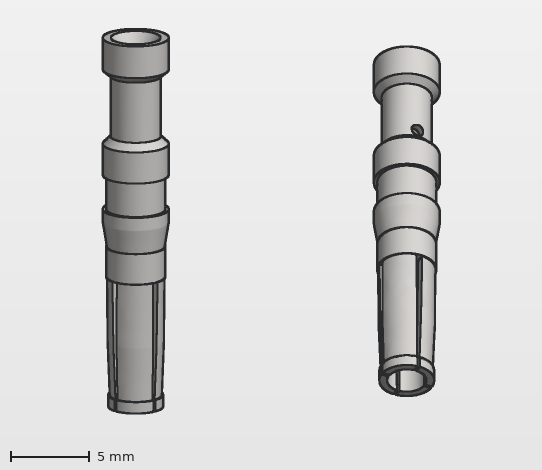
import cadquery as cq
import math

COLLAR_DIA = 4.2
NECK_DIA = 3.2
BODY_DIA = 3.75
TAPER_FOOT_DIA = 3.69
FINGER_ROOT_DIA = 3.65
FINGER_MID_DIA = 3.6
FINGER_WAIST_DIA = 3.32
TIP_DIA = 3.5

TOTAL_HEIGHT = 24.25
TOP_FLANGE_BOTTOM = 22.16
NECK_TOP = 21.73
NECK_BOTTOM = 17.78
MIDDLE_COLLAR_TOP = NECK_BOTTOM - (COLLAR_DIA - NECK_DIA) / 2
MIDDLE_COLLAR_BOTTOM = 15.23
LOWER_COLLAR_TOP = 12.97
LOWER_COLLAR_BOTTOM = 12.1
COLLAR_TAPER_BOTTOM = 10.52
FINGER_ROOT = 8.5
FINGER_MID = 4.27
TIP_BAND_TOP = 0.75

WIRE_BORE_DIA = 2.18
COUNTERSINK_DIA = 3.15
COUNTERSINK_DEPTH = 0.73
DRILL_POINT_ANGLE = 118
WIRE_BORE_BOTTOM = 17.45

INSPECTION_HOLE_DIA = 0.8
INSPECTION_HOLE_HEIGHT = 18.25

SOCKET_BORE_DIA = 2.5
SOCKET_BORE_DEPTH = FINGER_ROOT
SLOT_ROOT_WIDTH = 0.41
SLOT_TIP_WIDTH = 0.17


def revolve_profile(steps):
    """Solid of revolution about Z through (diameter, height) pairs that start and end on the axis."""
    outline = [(diameter / 2, height) for diameter, height in steps]
    profile = cq.Workplane("XZ").polyline(outline).close()
    return profile.revolve(360, (0, 0, 0), (0, 1, 0))


def outer_body():
    return revolve_profile([
        (0, TOTAL_HEIGHT),
        (COLLAR_DIA, TOTAL_HEIGHT),
        (COLLAR_DIA, TOP_FLANGE_BOTTOM),
        (NECK_DIA, NECK_TOP),
        (NECK_DIA, NECK_BOTTOM),
        (COLLAR_DIA, MIDDLE_COLLAR_TOP),
        (COLLAR_DIA, MIDDLE_COLLAR_BOTTOM),
        (BODY_DIA, MIDDLE_COLLAR_BOTTOM),
        (BODY_DIA, LOWER_COLLAR_TOP),
        (COLLAR_DIA, LOWER_COLLAR_TOP),
        (COLLAR_DIA, LOWER_COLLAR_BOTTOM),
        (TAPER_FOOT_DIA, COLLAR_TAPER_BOTTOM),
        (BODY_DIA, COLLAR_TAPER_BOTTOM),
        (BODY_DIA, FINGER_ROOT),
        (FINGER_ROOT_DIA, FINGER_ROOT),
        (FINGER_MID_DIA, FINGER_MID),
        (FINGER_WAIST_DIA, TIP_BAND_TOP),
        (TIP_DIA, TIP_BAND_TOP),
        (TIP_DIA, 0),
        (0, 0),
    ])


def wire_bore():
    drill_point_depth = WIRE_BORE_DIA / 2 / math.tan(math.radians(DRILL_POINT_ANGLE / 2))
    return revolve_profile([
        (0, TOTAL_HEIGHT),
        (COUNTERSINK_DIA, TOTAL_HEIGHT),
        (WIRE_BORE_DIA, TOTAL_HEIGHT - COUNTERSINK_DEPTH),
        (WIRE_BORE_DIA, WIRE_BORE_BOTTOM),
        (0, WIRE_BORE_BOTTOM - drill_point_depth),
    ])


def inspection_hole():
    hole = cq.Workplane("YZ").center(0, INSPECTION_HOLE_HEIGHT).circle(INSPECTION_HOLE_DIA / 2)
    return hole.extrude(-COLLAR_DIA / 2)


def socket_bore():
    return cq.Workplane("XY").circle(SOCKET_BORE_DIA / 2).extrude(SOCKET_BORE_DEPTH)


def finger_slot(plane):
    """Slot across the full diameter, narrowing evenly from the finger root to the tip."""
    outline = [
        (-SLOT_TIP_WIDTH / 2, 0),
        (SLOT_TIP_WIDTH / 2, 0),
        (SLOT_ROOT_WIDTH / 2, FINGER_ROOT),
        (-SLOT_ROOT_WIDTH / 2, FINGER_ROOT),
    ]
    return cq.Workplane(plane).polyline(outline).close().extrude(COLLAR_DIA / 2, both=True)


result = outer_body().cut(wire_bore()).cut(inspection_hole()).cut(socket_bore())
for slot_plane in ("XZ", "YZ"):
    result = result.cut(finger_slot(slot_plane))